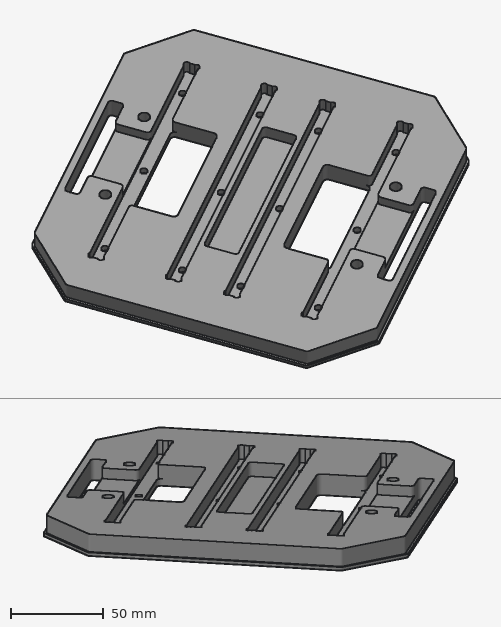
import cadquery as cq

side = 200.0
height = 12.0
flange_height = 2.0
flange_lip = 1.5
flange_corner_cut = 30.5
body_corner_cut = 29.2
plate_edge_radius = 2.0

pocket_corner_radius = 2.0
window_corner_radius = 2.5
relief_radius = 1.8
post_radius = 2.0

outer_rail_x = 61.5
inner_rail_x = 16.8
rail_width = 8.0
rail_length = 150.0
rail_depth = 8.0
screw_hole_diameter = 4.0
screw_hole_pitch = 60.0

window_width = 26.8
window_length = 64.5
handle_x = 90.0
handle_width = 8.5
handle_length = 70.0
recess_length = 40.0
recess_depth = 6.0
center_pocket_width = 19.5
center_pocket_length = 92.0
center_pocket_depth = 8.0
mount_hole_x = 72.5
mount_hole_y = 30.0
mount_hole_diameter = 6.5

rail_outside_x = outer_rail_x + rail_width / 2
rail_inside_x = outer_rail_x - rail_width / 2
window_x = rail_inside_x - window_width / 2
handle_inside_x = handle_x - handle_width / 2


def octagon(width, cut, z, thickness):
    """Square plate with its four corners cut off at 45 degrees."""
    plate = cq.Workplane("XY").workplane(offset=z).rect(width, width).extrude(thickness)
    return plate.edges("|Z").chamfer(cut)


def block(x, width, length, depth):
    """Cutter centred on (x, 0) that reaches down from the top face."""
    plane = cq.Workplane("XY").workplane(offset=height - depth)
    return plane.center(x, 0).rect(width, length).extrude(depth)


def rounded_block(x, width, length, depth, radius):
    return block(x, width, length, depth).edges("|Z").fillet(radius)


def rail_slot(x):
    """Slot whose four corners are relieved by circles passing through them."""
    inset = relief_radius / 2**0.5
    relief = (
        cq.Workplane("XY")
        .workplane(offset=height - rail_depth)
        .center(x, 0)
        .rect(rail_width - 2 * inset, rail_length - 2 * inset, forConstruction=True)
        .vertices()
        .circle(relief_radius)
        .extrude(rail_depth)
    )
    return block(x, rail_width, rail_length, rail_depth).union(relief)


def through_holes(points, diameter):
    return cq.Workplane("XY").pushPoints(points).circle(diameter / 2).extrude(height)


def round_post_corners(plate, x, y):
    """Round the upright edges that stand at (x, y) and (x, -y)."""
    reach = post_radius / 4
    for edge_y in (y, -y):
        near = (x - reach, edge_y - reach, 0)
        far = (x + reach, edge_y + reach, height)
        plate = plate.edges("|Z").edges(cq.selectors.BoxSelector(near, far)).fillet(post_radius)
    return plate


body_side = side - 2 * flange_lip
flange = octagon(side, flange_corner_cut, 0, flange_height)
body = octagon(body_side, body_corner_cut, flange_height, height - flange_height)
flange = flange.edges("|Z").fillet(plate_edge_radius)
result = flange.union(body.edges("|Z").fillet(plate_edge_radius))

rail_positions = (-outer_rail_x, -inner_rail_x, inner_rail_x, outer_rail_x)
for rail_x in rail_positions:
    result = result.cut(rail_slot(rail_x))

recess_width = handle_inside_x - rail_outside_x
recess_x = (handle_inside_x + rail_outside_x) / 2
for mirror in (-1, 1):
    window = rounded_block(mirror * window_x, window_width, window_length, height, window_corner_radius)
    result = result.cut(window)
    opening_width = window_width / 2
    opening_x = rail_inside_x - opening_width / 2
    result = result.cut(block(mirror * opening_x, opening_width, window_length, rail_depth))
    handle = rounded_block(mirror * handle_x, handle_width, handle_length, height, pocket_corner_radius)
    result = result.cut(handle)
    result = result.cut(block(mirror * recess_x, recess_width, recess_length, recess_depth))
    result = round_post_corners(result, mirror * rail_inside_x, window_length / 2)
    result = round_post_corners(result, mirror * rail_outside_x, recess_length / 2)
    result = round_post_corners(result, mirror * handle_inside_x, recess_length / 2)

center_pocket = rounded_block(
    0, center_pocket_width, center_pocket_length, center_pocket_depth, pocket_corner_radius
)
result = result.cut(center_pocket)

screw_points = [(x, row * screw_hole_pitch) for x in rail_positions for row in (-1, 0, 1)]
mount_points = [(sx * mount_hole_x, sy * mount_hole_y) for sx in (-1, 1) for sy in (-1, 1)]
result = result.cut(through_holes(screw_points, screw_hole_diameter))
result = result.cut(through_holes(mount_points, mount_hole_diameter))